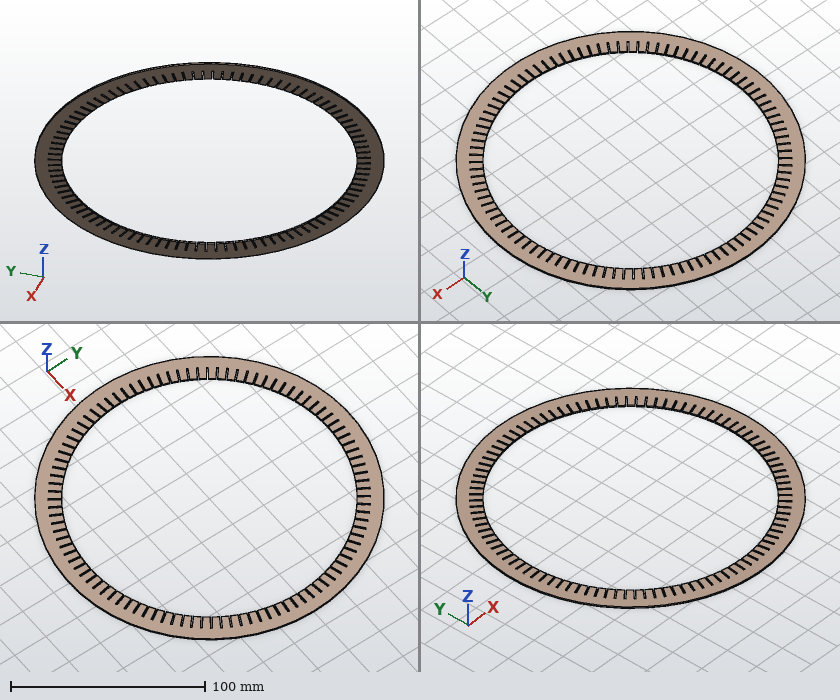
import cadquery as cq

OUTER_RADIUS = 90.0
INNER_RADIUS = 76.0
THICKNESS = 1.0

SLOT_COUNT = 100
SLOT_WIDTH = 0.83
SLOT_END_RADIUS = 83.0


def make_disc(radius):
    """Flat disc of the ring's thickness, centred on the Z axis."""
    return cq.Workplane("XY").circle(radius).extrude(THICKNESS)


def make_slots():
    """Radial bars spread evenly round the bore, trimmed at their outer ends to the slot end circle."""
    overrun = SLOT_WIDTH
    bar_length = SLOT_END_RADIUS - INNER_RADIUS + 2 * overrun
    bar_centre_radius = (SLOT_END_RADIUS + INNER_RADIUS) / 2
    bars = (
        cq.Workplane("XY")
        .polarArray(bar_centre_radius, 0, 360, SLOT_COUNT)
        .rect(bar_length, SLOT_WIDTH)
        .extrude(THICKNESS)
    )
    return bars.intersect(make_disc(SLOT_END_RADIUS))


ring = make_disc(OUTER_RADIUS).cut(make_disc(INNER_RADIUS))
result = ring.cut(make_slots())